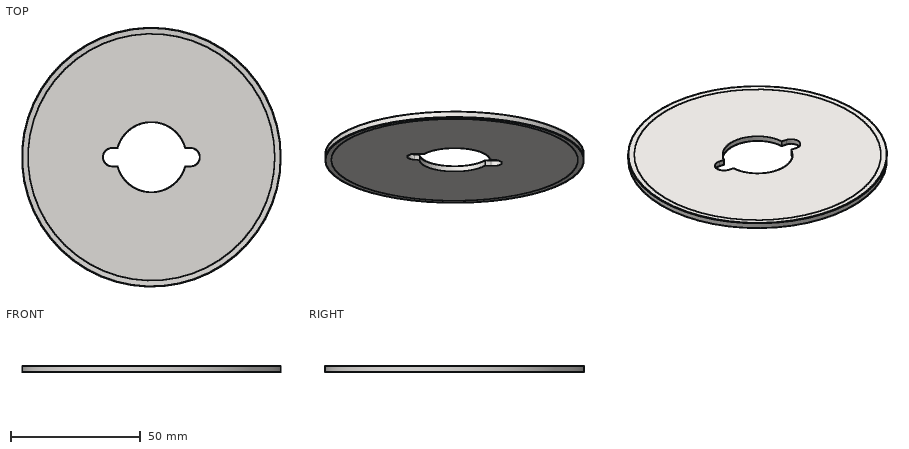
import cadquery as cq

outer_diameter = 100.0
thickness = 2.5

seam_diameter = 95.2

rim_rise = 0.15
rim_edge_chamfer = 0.2

bore_diameter = 27.0
slot_length = 37.3
slot_width = 7.0

disc_bottom = rim_rise
disc_top = thickness - rim_rise
disc_thickness = disc_top - disc_bottom


def make_disc():
    """Flat disc with a keyed opening through its centre."""
    base = cq.Workplane("XY").workplane(offset=disc_bottom)
    disc = base.circle(seam_diameter / 2).extrude(disc_thickness)
    bore = base.circle(bore_diameter / 2).extrude(disc_thickness)
    slot = base.slot2D(slot_length, slot_width).extrude(disc_thickness)
    return disc.cut(bore.union(slot))


def make_rim():
    """Ring around the disc that thickens outwards to a chamfered outer edge."""
    inner_radius = seam_diameter / 2
    outer_radius = outer_diameter / 2
    crest_radius = outer_radius - rim_edge_chamfer
    section = (
        cq.Workplane("XZ")
        .moveTo(inner_radius, disc_bottom)
        .lineTo(crest_radius, 0)
        .lineTo(outer_radius, rim_edge_chamfer)
        .lineTo(outer_radius, thickness - rim_edge_chamfer)
        .lineTo(crest_radius, thickness)
        .lineTo(inner_radius, disc_top)
        .close()
    )
    return section.revolve(360, (0, 0, 0), (0, 1, 0))


disc = make_disc()
rim = make_rim()

result = cq.Compound.makeCompound([disc.val(), rim.val()])